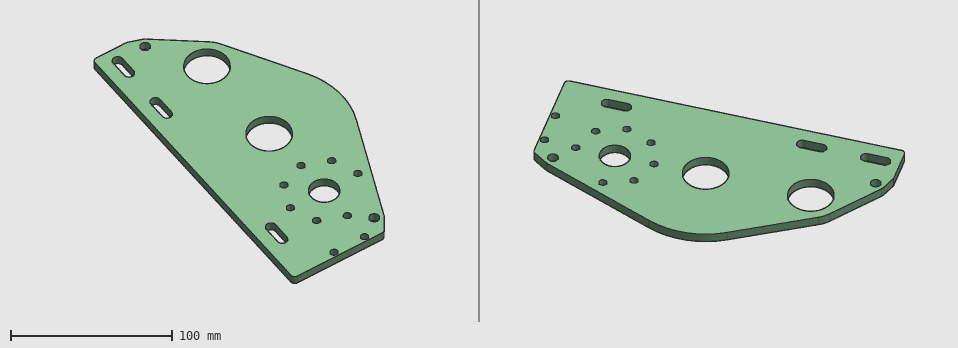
import cadquery as cq
import math

length = 220.5
height = 111.0
thickness = 6.5
corner_radius = 2.9

bore_diameter = 28.9
bore_y = 55.5
left_bore = (44.5, bore_y)
middle_bore = (112.7, bore_y)
left_round_radius = 20.5
top_round_radius = height - bore_y

left_edge_top = (0.0, 25.8)
left_knee = (3.7, 36.4)
right_knee = (209.7, 75.6)
right_edge_top = (length, 68.1)
knee_radius = 6.6

pilot_center = (171.0, 56.9)
pilot_diameter = 19.5
bolt_circle_radius = 25.4
bolt_positions = 8
omitted_position = 1
small_hole_diameter = 5.0

end_hole_diameter = 6.6
end_holes = [(9.3, 33.3), (207.2, 69.7)]
edge_hole_x = 217.0
edge_holes = [(edge_hole_x, 32.9), (edge_hole_x, 55.8)]

slot_length = 19.2
slot_width = 6.8
slot_y = 12.5
slot_centers_x = [15.7, 57.0, 183.7]


def polar(center, radius, angle):
    """Point at the given radius and angle (radians) around a center."""
    return (center[0] + radius * math.cos(angle), center[1] + radius * math.sin(angle))


def tangent_angle(point, center, radius, side):
    """Angle on a circle where a line from an outside point touches it.

    Side is +1 for the counterclockwise touch point, -1 for the clockwise one.
    """
    dx = point[0] - center[0]
    dy = point[1] - center[1]
    return math.atan2(dy, dx) + side * math.acos(radius / math.hypot(dx, dy))


def make_plate():
    """Plate whose upper edge is tangent to rounds centered on the large bores."""
    left_start = tangent_angle(left_knee, left_bore, left_round_radius, -1) % (2 * math.pi)
    bore_spacing = middle_bore[0] - left_bore[0]
    shared = math.pi / 2 + math.asin((top_round_radius - left_round_radius) / bore_spacing)
    right_end = tangent_angle(right_knee, middle_bore, top_round_radius, 1)

    outline = (
        cq.Workplane("XY")
        .moveTo(0, 0)
        .lineTo(*left_edge_top)
        .lineTo(*left_knee)
        .lineTo(*polar(left_bore, left_round_radius, left_start))
        .threePointArc(
            polar(left_bore, left_round_radius, (left_start + shared) / 2),
            polar(left_bore, left_round_radius, shared),
        )
        .lineTo(*polar(middle_bore, top_round_radius, shared))
        .threePointArc(
            polar(middle_bore, top_round_radius, math.pi / 2),
            polar(middle_bore, top_round_radius, right_end),
        )
        .lineTo(*right_knee)
        .lineTo(*right_edge_top)
        .lineTo(length, 0)
        .close()
    )
    plate = outline.extrude(thickness)
    mid_height = thickness / 2
    for corner, radius in [
        ((0, 0), corner_radius),
        ((length, 0), corner_radius),
        (right_edge_top, corner_radius),
        (left_knee, knee_radius),
        (right_knee, knee_radius),
    ]:
        nearest_edge = cq.selectors.NearestToPointSelector((*corner, mid_height))
        plate = plate.edges("|Z").edges(nearest_edge).fillet(radius)
    return plate


def round_cutter(centers, diameter):
    return cq.Workplane("XY").pushPoints(centers).circle(diameter / 2).extrude(thickness)


def slot_cutter():
    centers = [(x, slot_y) for x in slot_centers_x]
    return cq.Workplane("XY").pushPoints(centers).slot2D(slot_length, slot_width).extrude(thickness)


bolt_holes = [
    polar(pilot_center, bolt_circle_radius, 2 * math.pi * position / bolt_positions)
    for position in range(bolt_positions)
    if position != omitted_position
]

result = (
    make_plate()
    .cut(round_cutter([left_bore, middle_bore], bore_diameter))
    .cut(round_cutter([pilot_center], pilot_diameter))
    .cut(round_cutter(bolt_holes + edge_holes, small_hole_diameter))
    .cut(round_cutter(end_holes, end_hole_diameter))
    .cut(slot_cutter())
)